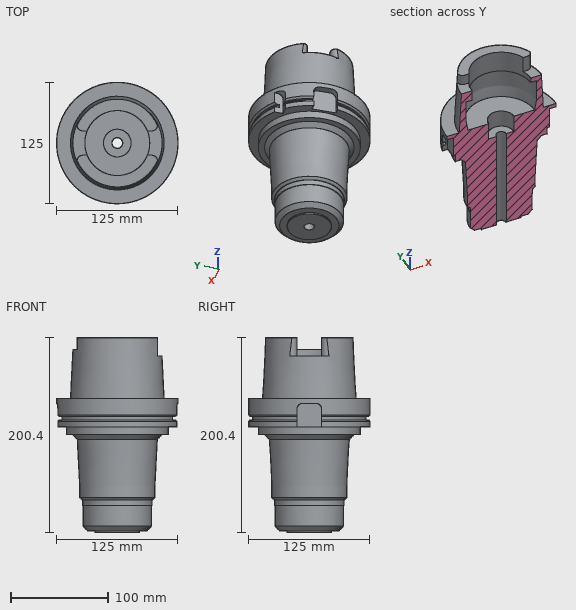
import cadquery as cq
import math

MARGIN = 5.0

shank_length = 62.5
shank_base_radius = 48.2
shank_tip_radius = 45.1
bore_radius = 33.4
bore_depth = 25.0
undercut_radius = 39.9
undercut_wall_depth = 50.1
undercut_taper_angle = 9.5
cavity_floor_z = 0.0
thread_bore_radius = 14.25
thread_bore_depth = 20.0
coolant_hole_radius = 5.4

drive_slot_width = 25.0
drive_slot_corner_radius = 6.0
drive_slot_relief_x = 41.4
drive_slot_depth_left = 12.0
drive_slot_depth_right = 18.7

flange_radius = 62.5
flange_thickness = 29.2
groove_root_radius = 58.4
groove_top_z = -18.8
groove_bottom_z = -22.3
upper_lip_chamfer = 1.9
lower_lip_chamfer = 1.2

cutout_top_z = -5.1
cutout_corner_radius = 6.0
keyway_width = 25.4
keyway_floor_x = 55.0
notch_wall_offset = 39.3

collar_radius = 52.5
collar_bottom_z = -37.3
shoulder_top_radius = 46.0
nose_taper_top_radius = 41.2
nose_taper_bottom_z = -90.2
nose_radius = 38.75
nose_bottom_z = -101.8
nose_chamfer = 2.6
neck_radius = 35.75
neck_bottom_z = -110.0
tip_radius = 35.3
tip_bottom_z = -136.2
tip_chamfer = 4.8
end_boss_radius = 22.75
end_z = -137.9


def revolve_profile(points):
    """Revolve a closed outline of (radius, Z) points about the Z axis."""
    return cq.Workplane("XZ").polyline(points).close().revolve(360, (0, 0, 0), (0, 1, 0))


def make_body():
    """Revolve the complete outer profile."""
    shoulder_bottom_z = collar_bottom_z - (shoulder_top_radius - nose_taper_top_radius)
    profile = [
        (0, shank_length),
        (shank_tip_radius, shank_length),
        (shank_base_radius, 0),
        (flange_radius, 0),
        (flange_radius, groove_top_z + upper_lip_chamfer),
        (flange_radius - upper_lip_chamfer, groove_top_z),
        (groove_root_radius, groove_top_z),
        (groove_root_radius, groove_bottom_z),
        (flange_radius - lower_lip_chamfer, groove_bottom_z),
        (flange_radius, groove_bottom_z - lower_lip_chamfer),
        (flange_radius, -flange_thickness),
        (collar_radius, -flange_thickness),
        (collar_radius, collar_bottom_z),
        (shoulder_top_radius, collar_bottom_z),
        (nose_taper_top_radius, shoulder_bottom_z),
        (nose_radius, nose_taper_bottom_z),
        (nose_radius, nose_bottom_z),
        (nose_radius - nose_chamfer, nose_bottom_z - nose_chamfer),
        (neck_radius, nose_bottom_z - nose_chamfer),
        (neck_radius, neck_bottom_z),
        (tip_radius, neck_bottom_z),
        (tip_radius, tip_bottom_z + tip_chamfer),
        (tip_radius - tip_chamfer, tip_bottom_z),
        (end_boss_radius, tip_bottom_z),
        (end_boss_radius, end_z),
        (0, end_z),
    ]
    return revolve_profile(profile)


def make_bores():
    """Shank bore with a wider cavity below, thread bore in its floor, coolant hole right through."""
    undercut_top_z = shank_length - bore_depth
    taper_top_z = shank_length - undercut_wall_depth
    taper_inset = (taper_top_z - cavity_floor_z) * math.tan(math.radians(undercut_taper_angle))
    cavity_profile = [
        (0, shank_length),
        (bore_radius, shank_length),
        (bore_radius, undercut_top_z),
        (undercut_radius, undercut_top_z),
        (undercut_radius, taper_top_z),
        (undercut_radius - taper_inset, cavity_floor_z),
        (0, cavity_floor_z),
    ]
    cavity = revolve_profile(cavity_profile)
    thread_bore = (
        cq.Workplane("XY").workplane(offset=cavity_floor_z).circle(thread_bore_radius).extrude(-thread_bore_depth)
    )
    coolant_hole = (
        cq.Workplane("XY").workplane(offset=end_z).circle(coolant_hole_radius).extrude(shank_length - end_z)
    )
    return cavity.union(thread_bore).union(coolant_hole)


def make_drive_slot(side, depth):
    """Slot through the shank wall on one side (-1 or +1 along X), flaring round its outer corners."""
    half_width = drive_slot_width / 2
    radius = drive_slot_corner_radius
    flare_start_x = drive_slot_relief_x - radius
    flare_end_y = half_width + radius
    arc_inset = radius * math.cos(math.pi / 4)
    arc_mid = (side * (flare_start_x + arc_inset), flare_end_y - arc_inset)
    relief_x = side * drive_slot_relief_x
    outer_x = side * (shank_base_radius + MARGIN)
    outer_y = shank_base_radius
    return (
        cq.Workplane("XY")
        .workplane(offset=shank_length - depth)
        .moveTo(0, half_width)
        .lineTo(side * flare_start_x, half_width)
        .threePointArc(arc_mid, (relief_x, flare_end_y))
        .lineTo(relief_x, outer_y)
        .lineTo(outer_x, outer_y)
        .lineTo(outer_x, -outer_y)
        .lineTo(relief_x, -outer_y)
        .lineTo(relief_x, -flare_end_y)
        .threePointArc((arc_mid[0], -arc_mid[1]), (side * flare_start_x, -half_width))
        .lineTo(0, -half_width)
        .close()
        .extrude(depth + MARGIN)
    )


def make_rim_cutter(x_start, x_end, y_start, y_end):
    """Block from below the flange up to the cutout top, with rounded upper corners along X."""
    bottom_z = -flange_thickness
    return (
        cq.Workplane("XY")
        .workplane(offset=bottom_z)
        .moveTo((x_start + x_end) / 2, (y_start + y_end) / 2)
        .rect(abs(x_end - x_start), abs(y_end - y_start))
        .extrude(cutout_top_z - bottom_z)
        .edges("|X and >Z")
        .fillet(cutout_corner_radius)
    )


def cut_flange_rim(body):
    """Cut the two opposite keyways and the orientation notch at the (-X, +Y) rim."""
    outside = flange_radius + MARGIN
    half_width = keyway_width / 2
    for side in (-1, 1):
        body = body.cut(make_rim_cutter(side * keyway_floor_x, side * outside, -half_width, half_width))
    return body.cut(make_rim_cutter(-notch_wall_offset, -outside, notch_wall_offset, outside))


result = make_body().cut(make_bores())
result = result.cut(make_drive_slot(-1, drive_slot_depth_left))
result = result.cut(make_drive_slot(1, drive_slot_depth_right))
result = cut_flange_rim(result)